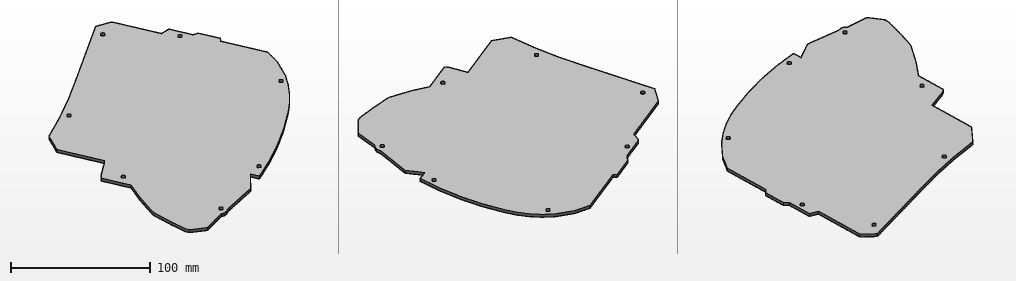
import cadquery as cq

WIDTH = 161.4
HEIGHT = 190.3
THICKNESS = 3.0
HOLE_DIAMETER = 3.0

TOP_EDGE_Y = 187.6
SHOULDER_Y = 181.7
NOTCH_Y = 67.0
LOWER_EDGE_Y = 47.2
FOOT_Y = 29.7

RIGHT_ARC_TOP = (145.4, 169.0)
RIGHT_UPPER_MIDDLE = (153.0, 154.5)
RIGHT_ARC_JOIN = (158.3, 135.1)
RIGHT_ARC_CREST = (WIDTH, 101.2)
RIGHT_ARC_BOTTOM = (158.9, NOTCH_Y)

LEFT_ARC_TOP = (3.2, 118.0)
LEFT_ARC_CREST = (4.2, 93.2)
LEFT_ARC_BOTTOM = (2.5, 58.2)

UPPER_LEFT_CORNER = (0, 173.7)
UPPER_EDGE = [
    (9.5, SHOULDER_Y),
    (47.2, SHOULDER_Y),
    (51.0, TOP_EDGE_Y),
]
TOP_TAB = [
    (69.3, TOP_EDGE_Y),
    (72.3, HEIGHT),
    (89.0, HEIGHT),
    (90.4, TOP_EDGE_Y),
]
UPPER_RIGHT_CORNER = [
    (125.5, TOP_EDGE_Y),
    (135.5, 180.4),
]
RIGHT_NOTCH = [
    (152.2, NOTCH_Y),
    (156.8, 53.5),
]
HOLE_LUG = [
    (147.7, 29.0),
    (147.5, 25.9),
    (146.3, 23.5),
    (144.6, 22.6),
]
LOWER_LOBE = [
    (139.5, 6.0),
    (127.9, 0),
    (124.8, 0),
    (113.6, 3.2),
    (99.3, 8.0),
    (96.7, 9.3),
    (83.5, 20.2),
]
FOOT = [
    (74.0, FOOT_Y),
    (51.4, FOOT_Y),
    (50.2, 32.7),
    (48.3, LOWER_EDGE_Y),
]
LOWER_LEFT_CORNER = (12.2, LOWER_EDGE_Y)

HOLE_CENTERS = [
    (7.5, 167.8),
    (60.7, 183.5),
    (143.9, 163.0),
    (155.5, 76.5),
    (142.7, 27.5),
    (66.0, 36.2),
    (9.7, 82.5),
]


def add_lines(path, points):
    """Continue the outline with a straight line to each point in turn."""
    for point in points:
        path = path.lineTo(*point)
    return path


def plate_outline():
    """Trace the closed outline clockwise from the upper left corner."""
    path = cq.Workplane("XY").moveTo(*UPPER_LEFT_CORNER)
    path = add_lines(path, UPPER_EDGE + TOP_TAB + UPPER_RIGHT_CORNER + [RIGHT_ARC_TOP])
    path = path.threePointArc(RIGHT_UPPER_MIDDLE, RIGHT_ARC_JOIN)
    path = path.threePointArc(RIGHT_ARC_CREST, RIGHT_ARC_BOTTOM)
    path = add_lines(path, RIGHT_NOTCH + HOLE_LUG + LOWER_LOBE + FOOT)
    path = add_lines(path, [LOWER_LEFT_CORNER, LEFT_ARC_BOTTOM])
    path = path.threePointArc(LEFT_ARC_CREST, LEFT_ARC_TOP)
    return path.close()


def screw_holes():
    """Cylinders that cut the screw holes through the full thickness."""
    holes = cq.Workplane("XY").pushPoints(HOLE_CENTERS)
    return holes.circle(HOLE_DIAMETER / 2).extrude(THICKNESS)


plate = plate_outline().extrude(THICKNESS)
result = plate.cut(screw_holes())